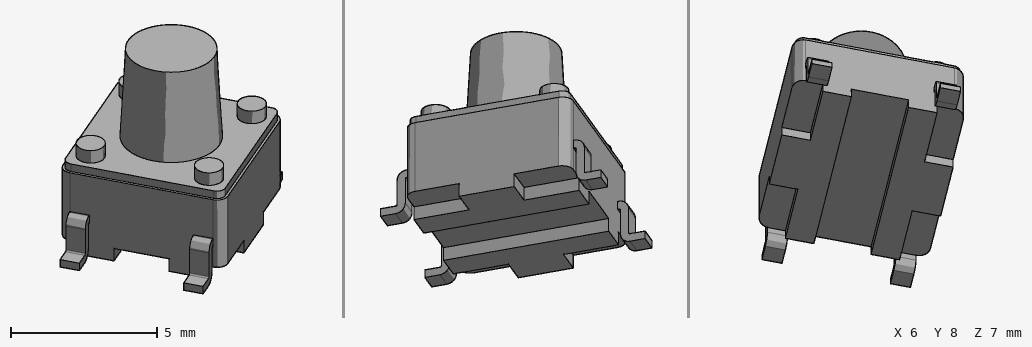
import cadquery as cq

body_side = 6.0
corner_radius = 0.4
foot_height = 0.5
body_top = 3.2
half_side = body_side / 2
channel_half_width = 1.0
rail_outer_edge = 2.0
tab_half_length = 1.0

cover_inset = 0.1
cover_top = 3.5

stud_diameter = 1.0
stud_top = 4.0
stud_spacing = 4.3

button_base_diameter = 3.51
button_top_diameter = 3.14
button_top = 7.0

lead_span = 8.0
lead_width = 0.7
lead_thickness = 0.3
lead_top = 1.65
lead_standoff = 0.4
bend_inner_radius = 0.052
bend_outer_radius = bend_inner_radius + lead_thickness
lead_embed = 0.08
lead_outer_edge = half_side - corner_radius
lead_center_x = lead_outer_edge - lead_width / 2


def rounded_block(side, radius, bottom, top):
    block = cq.Workplane("XY").workplane(offset=bottom).rect(side, side).extrude(top - bottom)
    return block.edges("|Z").fillet(radius)


def box_between(x_low, x_high, half_length, height):
    return (
        cq.Workplane("XY")
        .center((x_low + x_high) / 2, 0)
        .rect(x_high - x_low, 2 * half_length)
        .extrude(height)
    )


def foot():
    """Foot on the +X half: a full-length rail with a central outward tab."""
    rail = box_between(channel_half_width, rail_outer_edge, half_side, foot_height)
    tab = box_between(channel_half_width, half_side, tab_half_length, foot_height)
    return rail.union(tab)


def lead():
    """Lead on the +X, +Y corner, bent down and then outward."""
    upright_outer = half_side + lead_standoff
    upright_inner = upright_outer - lead_thickness
    strip = (
        cq.Workplane("YZ")
        .workplane(offset=lead_center_x - lead_width / 2)
        .moveTo(half_side - lead_embed, lead_top)
        .lineTo(upright_outer, lead_top)
        .lineTo(upright_outer, lead_thickness)
        .lineTo(lead_span / 2, lead_thickness)
        .lineTo(lead_span / 2, 0)
        .lineTo(upright_inner, 0)
        .lineTo(upright_inner, lead_top - lead_thickness)
        .lineTo(half_side - lead_embed, lead_top - lead_thickness)
        .close()
        .extrude(lead_width)
    )

    def bend(y, z, radius):
        return strip.edges(cq.selectors.NearestToPointSelector((lead_center_x, y, z))).fillet(radius)

    strip = bend(upright_outer, lead_top, bend_outer_radius)
    strip = bend(upright_inner, lead_top - lead_thickness, bend_inner_radius)
    strip = bend(upright_inner, 0, bend_outer_radius)
    return bend(upright_outer, lead_thickness, bend_inner_radius)


def button():
    return (
        cq.Workplane("XY")
        .workplane(offset=cover_top)
        .circle(button_base_diameter / 2)
        .workplane(offset=button_top - cover_top)
        .circle(button_top_diameter / 2)
        .loft()
    )


housing = rounded_block(body_side, corner_radius, foot_height, body_top)
cover = rounded_block(body_side - 2 * cover_inset, corner_radius - cover_inset, body_top, cover_top)
studs = (
    cq.Workplane("XY")
    .workplane(offset=cover_top)
    .rect(stud_spacing, stud_spacing, forConstruction=True)
    .vertices()
    .circle(stud_diameter / 2)
    .extrude(stud_top - cover_top)
)

result = housing.union(cover).union(studs).union(button())
for mirrored in (False, True):
    side_foot = foot()
    side_lead = lead()
    if mirrored:
        side_foot = side_foot.mirror("YZ")
        side_lead = side_lead.mirror("YZ")
    result = result.union(side_foot).union(side_lead).union(side_lead.mirror("XZ"))